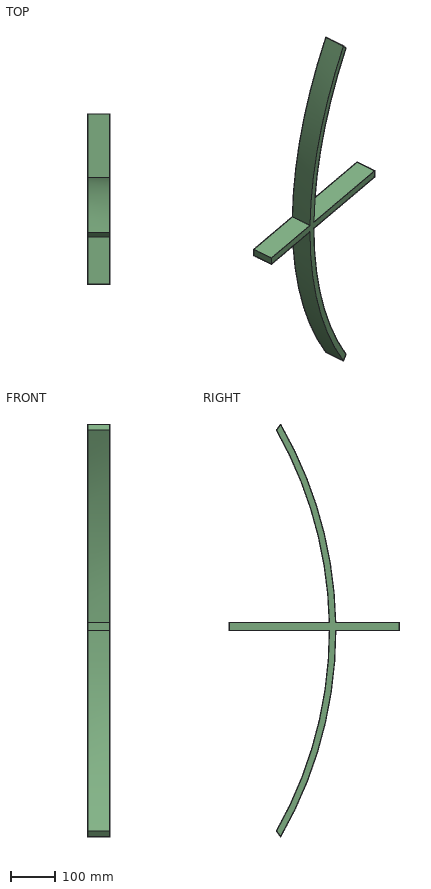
import cadquery as cq
import math

width = 50.0
bow_radius = 934.0
bow_thickness = 15.0
bow_half_angle = 30.0
concave_half_angle = 29.6
bar_length = 386.0
bar_thickness = 19.0
bar_overhang = 144.0


def bow_point(radius, angle):
    """Point (Y, Z) on a bow arc; the convex face touches Y = 0 at mid height."""
    turn = math.radians(angle)
    return radius * math.cos(turn) - bow_radius, radius * math.sin(turn)


def make_bow():
    """Curved strip with slanted ends, bulging toward +Y."""
    inner_radius = bow_radius - bow_thickness
    return (
        cq.Workplane("YZ")
        .moveTo(*bow_point(bow_radius, -bow_half_angle))
        .threePointArc(bow_point(bow_radius, 0), bow_point(bow_radius, bow_half_angle))
        .lineTo(*bow_point(inner_radius, concave_half_angle))
        .threePointArc(bow_point(inner_radius, 0), bow_point(inner_radius, -concave_half_angle))
        .close()
        .extrude(width / 2, both=True)
    )


def make_bar():
    """Straight bar through the bow, its underside at the bow's mid height."""
    return (
        cq.Workplane("XY")
        .box(width, bar_length, bar_thickness, centered=(True, False, False))
        .translate((0, bar_overhang - bar_length, 0))
    )


result = make_bow().union(make_bar())